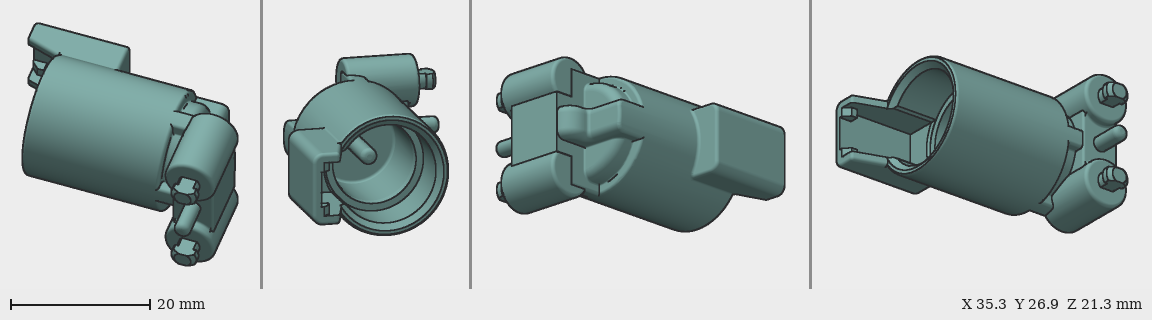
import cadquery as cq
import math


tolerance = 0.005

barrel_radius = 9.0
mouth_break = 0.25
shoulder_x = 20.57
front_shoulder_x = 20.8
core_radius = 7.48
core_end = 23.6
core_round = 1.5
lip_round = 0.5
root_round = 0.25

bore_radius = 7.3
bore_depth = 8.0
mouth_radius = 8.22
mouth_lead_in = 0.95
inner_bore_radius = 6.2
inner_bore_lead_in = 1.2
inner_step_radius = 6.07
inner_floor_radius = 5.65
inner_bore_depth = 19.4
inner_floor_round = inner_step_radius - inner_floor_radius

latch_front = -5.3
latch_back = 9.05
latch_top = 12.6
latch_half_width = 5.33
latch_front_bottom = 8.68
latch_mouth_bottom = 7.02
latch_corner = 1.48
latch_edge_round = 0.53
latch_root_round = 0.45
slot_half_width = 3.95
slot_top = 11.4
slot_depth = 7.62
slot_bevel = 0.35

catch_width = 1.38
catch_front_y = 11.0
catch_tip_y = 9.95
catch_ramp_end = -4.27
catch_back = -3.28

overall_length = 35.28
overall_depth = 26.9

post_radius = 3.8
post_spacing = 13.65
post_x = overall_length + latch_front - post_radius
post_end_y = -10.65
post_edge_round = 0.53
post_root_round = 0.3
snap_neck_radius = 1.6
snap_head_radius = 1.95
snap_tip_radius = 1.27
snap_half_thickness = 1.13
snap_neck_end = -12.15
snap_head_end = -13.05
snap_tip_end = -13.62

pin_radius = 1.2
pin_tip_round = 0.78
pin_end_y = latch_top - overall_depth
mating_pin_tip_x = 10.6

cover_half_width = 2.55
cover_round = 1.3
cover_back = 25.47
bend_start_y = 3.25
bend_inner_radius = 0.45
bend_outer_radius = 2.82
block_front = 23.07
block_back = 29.3
block_half_width = 4.6
block_face_y = -9.15
block_top_y = 0.15
block_round = 0.4

side_rib_low = -2.65
side_rib_high = 0.15
front_rib_half_width = 1.45


def box(x0, x1, y0, y1, z0, z1):
    return cq.Workplane("XY").box(x1 - x0, y1 - y0, z1 - z0, centered=False).translate((x0, y0, z0))


def x_cylinder(radius, x0, x1):
    return cq.Workplane("YZ", origin=(x0, 0, 0)).circle(radius).extrude(x1 - x0)


def edges_on_radius(body, radius, x_min, x_max):
    """Edges on the cylinder of this radius about the barrel axis that start between x_min and x_max."""

    def is_on_radius(point):
        return abs(math.hypot(point.y, point.z) - radius) < tolerance

    def is_selected(edge):
        start = edge.BoundingBox().xmin
        on_radius = all(is_on_radius(point) for point in edge.positions([0, 0.5, 1]))
        return on_radius and x_min - tolerance < start < x_max + tolerance

    return [edge for edge in body.edges().vals() if is_selected(edge)]


def cover_back_edges(body):
    """Edges that follow the stepped back of the contact cover along both of its flat sides."""

    def is_selected(edge):
        center = edge.Center()
        on_side = abs(abs(center.z) - cover_half_width) < tolerance
        return on_side and edge.BoundingBox().xmin > cover_back - tolerance and center.y > 0

    return [edge for edge in body.edges().vals() if is_selected(edge)]


def rear_core():
    """Rounded end of the bore wall; towards -Y it runs straight into the pin block instead."""
    rounded = x_cylinder(core_radius, 0, core_end).faces(">X").edges().fillet(core_round)
    front_half = box(0, block_front, -barrel_radius, side_rib_low, -barrel_radius, barrel_radius)
    return rounded.union(x_cylinder(core_radius, 0, block_front).intersect(front_half))


def barrel():
    """Barrel cylinder, cut back behind its shoulder to the core, the ribs and the contact cover."""
    reach = 2 * barrel_radius
    kept = (
        box(0, shoulder_x, -reach, reach, -reach, reach)
        .union(box(0, front_shoulder_x, -reach, side_rib_low, -reach, reach))
        .union(box(0, post_x, side_rib_low, side_rib_high, -reach, reach))
        .union(box(0, block_front + block_round, -reach, 0, -front_rib_half_width, front_rib_half_width))
        .union(cover())
        .union(rear_core())
    )
    body = x_cylinder(barrel_radius, 0, block_back).rotate((0, 0, 0), (1, 0, 0), 180).intersect(kept)
    body = body.newObject(cover_back_edges(body)).fillet(cover_round)
    body = body.newObject(edges_on_radius(body, core_radius, shoulder_x, front_shoulder_x)).fillet(root_round)
    body = body.newObject(edges_on_radius(body, barrel_radius, shoulder_x, cover_back)).fillet(lip_round)
    return body.faces("<X").edges().chamfer(mouth_break)


def bore():
    profile = (
        cq.Workplane("XY")
        .moveTo(0, 0)
        .lineTo(0, mouth_radius)
        .lineTo(mouth_lead_in, bore_radius)
        .lineTo(bore_depth, bore_radius)
        .lineTo(bore_depth, inner_bore_radius)
        .lineTo(bore_depth + inner_bore_lead_in, inner_step_radius)
        .lineTo(inner_bore_depth - inner_floor_round, inner_step_radius)
        .radiusArc((inner_bore_depth, inner_floor_radius), inner_floor_round)
        .lineTo(inner_bore_depth, 0)
        .close()
    )
    return profile.revolve(360, (0, 0, 0), (1, 0, 0))


def latch_housing():
    side = (
        cq.Workplane("XY")
        .moveTo(latch_front, latch_front_bottom)
        .lineTo(latch_front, latch_top)
        .lineTo(latch_back, latch_top)
        .lineTo(latch_back, 0)
        .lineTo(0, 0)
        .lineTo(0, latch_mouth_bottom)
        .close()
        .extrude(latch_half_width, both=True)
    )
    side = side.edges("|X and >Y").fillet(latch_corner)
    side = side.faces(">X").edges("not <Y").fillet(latch_edge_round)
    slope = cq.Vector(latch_front, latch_front_bottom, 0) - cq.Vector(0, latch_mouth_bottom, 0)
    front_edges = side.faces("<X").edges().add(side.edges(cq.selectors.ParallelDirSelector(slope)))
    return front_edges.fillet(latch_edge_round)


def slot():
    return box(latch_front, slot_depth, 0, slot_top, -slot_half_width, slot_half_width)


def catch(side):
    outline = (
        cq.Workplane("XY", origin=(0, 0, side * (slot_half_width - catch_width / 2)))
        .moveTo(latch_front, slot_top)
        .lineTo(latch_front, catch_front_y)
        .lineTo(catch_ramp_end, catch_tip_y)
        .lineTo(catch_back, catch_tip_y)
        .lineTo(catch_back, slot_top)
        .close()
    )
    return outline.extrude(catch_width / 2, both=True)


def y_revolve(points):
    return cq.Workplane("XY").polyline(points).close().revolve(360, (0, 0, 0), (0, 1, 0))


def post(side):
    """Round post with a flattened snap-in tip."""
    body = cq.Workplane("XZ").circle(post_radius).extrude(-post_end_y)
    body = body.edges("%CIRCLE").fillet(post_edge_round)
    snap = y_revolve(
        [
            (0, post_end_y),
            (snap_neck_radius, post_end_y),
            (snap_neck_radius, snap_neck_end),
            (snap_head_radius, snap_neck_end),
            (snap_head_radius, snap_head_end),
            (snap_tip_radius, snap_tip_end),
            (0, snap_tip_end),
        ]
    )
    flats = box(
        -snap_head_radius, snap_head_radius, snap_tip_end, post_end_y, -snap_half_thickness, snap_half_thickness
    )
    return body.union(snap.intersect(flats)).translate((post_x, 0, side * post_spacing / 2))


def post_collar(side):
    """Concave round where a post rises from the flat face of the pin block."""
    outer = post_radius + post_root_round
    ring = (
        cq.Workplane("XY")
        .moveTo(0, block_top_y)
        .lineTo(outer, block_top_y)
        .lineTo(outer, block_face_y)
        .radiusArc((post_radius, block_face_y - post_root_round), -post_root_round)
        .lineTo(0, block_face_y - post_root_round)
        .close()
        .revolve(360, (0, 0, 0), (0, 1, 0))
        .translate((post_x, 0, side * post_spacing / 2))
    )
    flat_face = box(
        block_front + block_round,
        block_back - block_round,
        block_face_y - post_root_round,
        block_top_y,
        -block_half_width,
        block_half_width,
    )
    return ring.intersect(flat_face)


def cover():
    bend_y = bend_start_y - bend_inner_radius
    outline = (
        cq.Workplane("XY")
        .moveTo(0, side_rib_low)
        .lineTo(0, 2 * barrel_radius)
        .lineTo(cover_back, 2 * barrel_radius)
        .lineTo(cover_back, bend_start_y)
        .radiusArc((cover_back + bend_inner_radius, bend_y), -bend_inner_radius)
        .lineTo(block_back - bend_outer_radius, bend_y)
        .radiusArc((block_back, bend_y - bend_outer_radius), bend_outer_radius)
        .lineTo(block_back, side_rib_low)
        .close()
    )
    return outline.extrude(cover_half_width, both=True)


def pin_block():
    block = box(block_front, block_back, block_face_y, block_top_y, -block_half_width, block_half_width)
    return block.faces("<Y").edges("|Z").fillet(block_round)


def pin():
    shaft = cq.Workplane("XZ", origin=(post_x, 0, 0)).circle(pin_radius).extrude(-pin_end_y)
    return shaft.faces("<Y").edges().fillet(pin_tip_round)


def mating_pin():
    return x_cylinder(pin_radius, mating_pin_tip_x, inner_bore_depth).faces("<X").edges().fillet(pin_tip_round)


result = barrel().union(latch_housing())
result = result.newObject(edges_on_radius(result, barrel_radius, mouth_break, latch_back)).fillet(latch_root_round)
result = result.cut(slot()).cut(bore())
bore_edges = edges_on_radius(result, bore_radius, mouth_lead_in, slot_depth)
slot_edges = [edge for edge in bore_edges if edge.BoundingBox().xmax > mouth_lead_in + tolerance]
result = result.newObject(slot_edges).chamfer(slot_bevel)
result = result.union(pin_block()).union(pin()).union(mating_pin())
for side in (-1, 1):
    result = result.union(catch(side)).union(post(side)).union(post_collar(side))